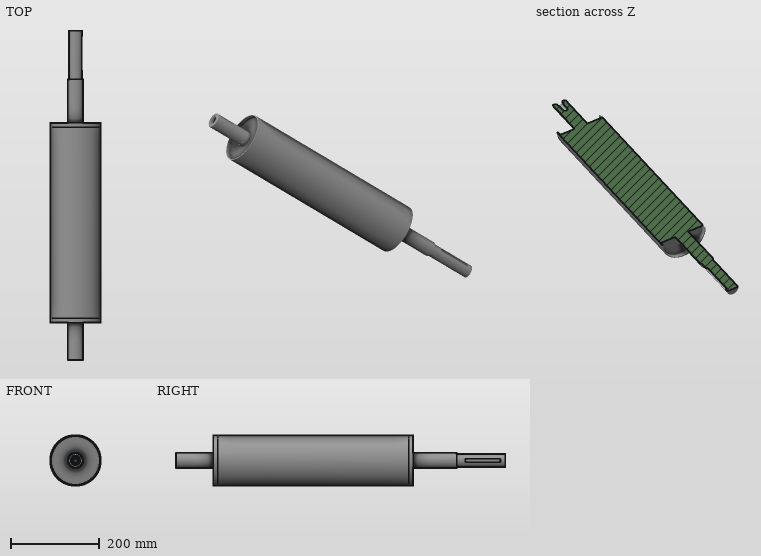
import cadquery as cq
import math

total_length = 743.0
front_end = -total_length / 2
rear_end = total_length / 2

drum_diameter = 114.5
drum_bore_diameter = 110.0
drum_length = 450.0
recess_depth = 10.0
front_stub_length = 85.0
drum_front = front_end + front_stub_length
drum_rear = drum_front + drum_length

shaft_diameter = 35.0
shaft_chamfer = 1.5
collar_diameter = 36.0
collar_length = 10.0
journal_diameter = 30.0
journal_length = 110.0
journal_start = rear_end - journal_length

key_width = 8.0
key_depth = 4.0
key_length = 80.0
key_end_gap = 10.5

center_mouth_diameter = 21.5
center_cone_diameter = 18.0
center_bore_diameter = 13.0
center_drill_diameter = 10.5
center_mouth_depth = 1.0
center_cone_depth = 4.5
center_bore_depth = 10.0
center_drill_depth = 30.0
center_tip_angle = 120.0


def cylinder(diameter, start, end):
    """Solid cylinder on the Y axis between two Y positions."""
    return cq.Workplane("XZ", origin=(0, start, 0)).circle(diameter / 2).extrude(start - end)


def drum():
    body = cylinder(drum_diameter, drum_front, drum_rear)
    front_recess = cylinder(drum_bore_diameter, drum_front, drum_front + recess_depth)
    rear_recess = cylinder(drum_bore_diameter, drum_rear - recess_depth, drum_rear)
    return body.cut(front_recess).cut(rear_recess)


def shaft():
    front_plate = drum_front + recess_depth
    rear_plate = drum_rear - recess_depth
    main = cylinder(shaft_diameter, front_end, journal_start).faces("<Y").chamfer(shaft_chamfer)
    collar = cylinder(collar_diameter, front_plate - collar_length, rear_plate + collar_length)
    journal = cylinder(journal_diameter, journal_start, rear_end)
    return main.union(collar).union(journal)


def keyway():
    floor_x = journal_diameter / 2 - key_depth
    middle_y = rear_end - key_end_gap - key_length / 2
    return (
        cq.Workplane("YZ", origin=(floor_x, middle_y, 0))
        .slot2D(key_length, key_width)
        .extrude(journal_diameter / 2)
    )


def center_hole():
    mouth_end = front_end + center_mouth_depth
    cone_end = front_end + center_cone_depth
    bore_end = front_end + center_bore_depth
    drill_end = front_end + center_drill_depth
    tip_length = center_drill_diameter / 2 / math.tan(math.radians(center_tip_angle / 2))
    return (
        cq.Workplane("XY")
        .moveTo(0, front_end)
        .lineTo(center_mouth_diameter / 2, front_end)
        .lineTo(center_cone_diameter / 2, mouth_end)
        .lineTo(center_bore_diameter / 2, cone_end)
        .lineTo(center_bore_diameter / 2, bore_end)
        .lineTo(center_drill_diameter / 2, bore_end)
        .lineTo(center_drill_diameter / 2, drill_end)
        .lineTo(0, drill_end + tip_length)
        .close()
        .revolve(360, (0, 0, 0), (0, 1, 0))
    )


result = drum().union(shaft()).cut(keyway()).cut(center_hole())